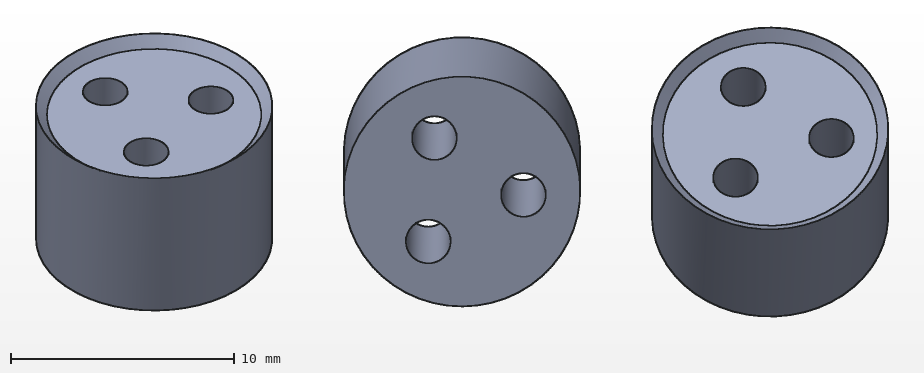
import cadquery as cq

outer_diameter = 10.6
height = 7.5

recess_depth = 0.5
floor_diameter = outer_diameter - 2 * recess_depth
floor_height = height - recess_depth

hole_count = 3
hole_diameter = 2.0
hole_circle_radius = 2.76
first_hole_angle = 90


def make_body():
    return cq.Workplane("XY").circle(outer_diameter / 2).extrude(height)


def make_recess():
    """Truncated cone that widens from the recess floor to the rim."""
    return (
        cq.Workplane("XY", origin=(0, 0, floor_height))
        .circle(floor_diameter / 2)
        .workplane(offset=recess_depth)
        .circle(outer_diameter / 2)
        .loft(ruled=True)
    )


def make_holes():
    return (
        cq.Workplane("XY")
        .polarArray(hole_circle_radius, first_hole_angle, 360, hole_count)
        .circle(hole_diameter / 2)
        .extrude(height)
    )


result = make_body().cut(make_recess()).cut(make_holes())